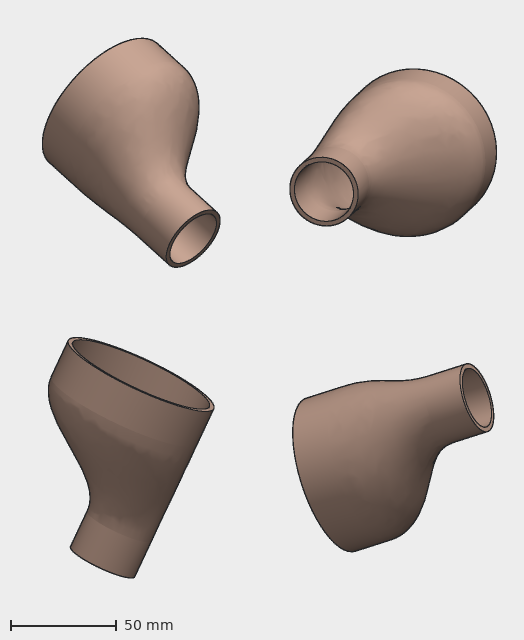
import cadquery as cq

total_length = 90.0
collar_length = 19.0
large_outer_diameter = 76.1
large_inner_diameter = 71.5
small_outer_diameter = 33.7
small_inner_diameter = 29.1

transition_length = total_length - 2 * collar_length
small_start = total_length - collar_length
small_axis_y = (small_outer_diameter - large_outer_diameter) / 2

handle_fraction = 0.4
section_steps = 10


def distance_share(t):
    """Share of the transition length covered at curve parameter t."""
    first_handle = 3 * t * (1 - t) ** 2 * handle_fraction
    second_handle = 3 * t**2 * (1 - t) * (1 - handle_fraction)
    return first_handle + second_handle + t**3


def blend_share(t):
    """Share of the change from large pipe to small pipe at curve parameter t."""
    return 3 * t**2 - 2 * t**3


def pipe(x_start, axis_y, diameter):
    """Straight round bar of collar length along +X."""
    return cq.Workplane("YZ", origin=(x_start, axis_y, 0)).circle(diameter / 2).extrude(collar_length)


def transition(large_diameter, small_diameter):
    """Smooth solid through circles that shrink and shift toward the small pipe."""
    sections = []
    for step in range(section_steps + 1):
        t = step / section_steps
        blend = blend_share(t)
        x = collar_length + transition_length * distance_share(t)
        radius = (large_diameter + (small_diameter - large_diameter) * blend) / 2
        center = cq.Vector(x, small_axis_y * blend, 0)
        sections.append(cq.Wire.makeCircle(radius, center, cq.Vector(1, 0, 0)))
    return cq.Workplane(cq.Solid.makeLoft(sections))


def reducer_body(large_diameter, small_diameter):
    """Large pipe, transition and small pipe joined into one solid."""
    large_pipe = pipe(0, 0, large_diameter)
    small_pipe = pipe(small_start, small_axis_y, small_diameter)
    return large_pipe.union(transition(large_diameter, small_diameter)).union(small_pipe)


outside = reducer_body(large_outer_diameter, small_outer_diameter)
bore = reducer_body(large_inner_diameter, small_inner_diameter)
result = outside.cut(bore)